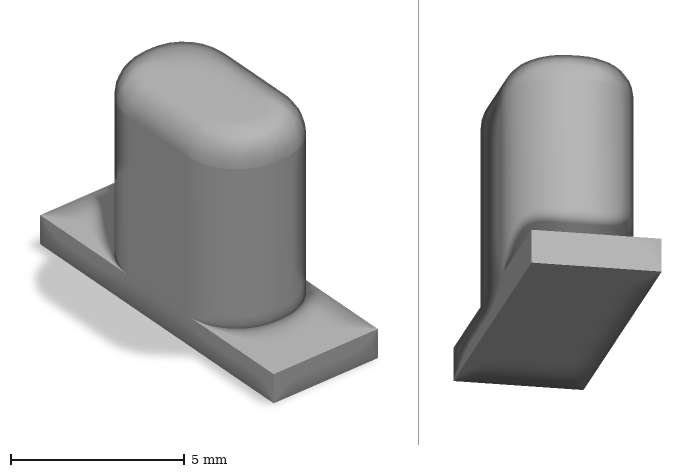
import cadquery as cq

base_length = 10.8
width = 3.85
base_height = 1.0

total_height = 7.5
post_length = 6.39
post_offset = 0.05
post_corner_radius = 1.8
top_fillet_radius = 1.0


def make_base():
    """Flat rectangular plate resting on Z = 0."""
    return cq.Workplane("XY").box(base_length, width, base_height, centered=(True, True, False))


def make_post():
    """Post with rounded vertical corners and a rounded top rim."""
    post = cq.Workplane("XY").box(post_length, width, total_height, centered=(True, True, False))
    post = post.edges("|Z").fillet(post_corner_radius)
    post = post.faces(">Z").edges().fillet(top_fillet_radius)
    return post.translate((post_offset, 0, 0))


result = make_base().union(make_post()).clean()